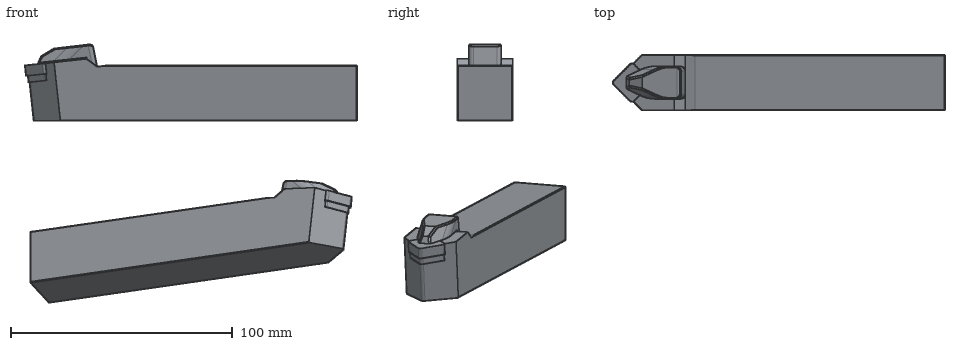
import cadquery as cq
import math

LENGTH = 150.0
WIDTH = 25.0
SHANK_HEIGHT = 25.0
SHANK_CHAMFER = 0.38

RAKE = 6.2
INSERT_SIDE = 13.0
INSERT_THICKNESS = 4.8
NOSE_RADIUS = 1.2
NOSE_HEIGHT = 25.0

SHIM_SETBACK = 0.6
SHIM_THICKNESS = 3.0

HEAD_SETBACK = 0.9
HEAD_TOP_END = 27.8
VALLEY_X = 32.7
VALLEY_Z = 24.5
RAMP_END = 36.9

CLAMP_GAP = 0.5
CLAMP_TOE_X = 6.0
CLAMP_TOE_TOP = (7.5, 29.2)
CLAMP_FRONT_TOP = (13.4, 32.7)
CLAMP_PEAK = (28.8, 34.5)
CLAMP_REAR_TOP = (30.8, 34.0)

CLAMP_WIDTH = 14.8
CLAMP_TIP_WIDTH = 3.8
CLAMP_FLARE = 37.0
CLAMP_FLANK_RADIUS = 7.4
CLAMP_FLANK_SLOPE = 45.0
CLAMP_CORNER_RADIUS = 2.18
CLAMP_CHAMFER = 0.6

CLAMP_REACH = LENGTH / 4
HEAD_REACH = LENGTH / 2

CORNER_LOSS = NOSE_RADIUS * (math.sqrt(2) - 1)


def lean(shape):
    """Tilt a shape built level about the nose and lift it to the nose height."""
    return shape.rotate((0, 0, 0), (0, 1, 0), -RAKE).translate((0, 0, NOSE_HEIGHT))


def seat_height(x):
    """Height of the leaning plane that carries the insert top and the head top."""
    return NOSE_HEIGHT + x * math.tan(math.radians(RAKE))


def make_plate(setback, thickness, top):
    """Leaning square plate with one corner forward; the setback moves its front sides only."""
    side = INSERT_SIDE - setback
    back_corner = math.sqrt(2) * INSERT_SIDE - CORNER_LOSS
    level_plate = (
        cq.Workplane("XY", origin=(back_corner - side / math.sqrt(2), 0, top - thickness))
        .transformed(rotate=(0, 0, 45))
        .rect(side, side)
        .extrude(thickness)
        .edges("|Z")
        .fillet(NOSE_RADIUS)
    )
    return lean(level_plate)


def make_head_envelope():
    """Leaning prism with the pointed plan of the holder, open-ended behind the shank."""
    tip = HEAD_SETBACK * math.sqrt(2) - CORNER_LOSS
    half = WIDTH / 2
    shoulder = tip + half
    back = LENGTH + HEAD_REACH
    prism = (
        cq.Workplane("XY")
        .polyline([(tip, 0), (shoulder, -half), (back, -half), (back, half), (shoulder, half)])
        .close()
        .extrude(HEAD_REACH, both=True)
        .edges("|Z and <X")
        .fillet(NOSE_RADIUS)
    )
    return lean(prism)


def make_shank():
    """Bar with the raised head, its rear end and long edges chamfered, cut to the pointed plan."""
    bar = (
        cq.Workplane("XZ", origin=(0, WIDTH / 2, 0))
        .polyline([
            (0, 0),
            (LENGTH, 0),
            (LENGTH, SHANK_HEIGHT),
            (RAMP_END, SHANK_HEIGHT),
            (VALLEY_X, VALLEY_Z),
            (HEAD_TOP_END, seat_height(HEAD_TOP_END)),
            (0, seat_height(0)),
        ])
        .close()
        .extrude(WIDTH)
    )
    bar = bar.edges("|X").chamfer(SHANK_CHAMFER)
    bar = bar.faces(">X").edges().chamfer(SHANK_CHAMFER)
    return bar.intersect(make_head_envelope())


def make_clamp_profile():
    """Side profile at full width: heel on the slope of the head, clear of insert and head top."""
    gap_start = seat_height(CLAMP_TOE_X) + CLAMP_GAP
    gap_end = seat_height(HEAD_TOP_END) + CLAMP_GAP
    return (
        cq.Workplane("XZ", origin=(0, CLAMP_WIDTH / 2, 0))
        .moveTo(CLAMP_TOE_X, gap_start)
        .lineTo(*CLAMP_TOE_TOP)
        .lineTo(*CLAMP_FRONT_TOP)
        .lineTo(*CLAMP_PEAK)
        .tangentArcPoint(CLAMP_REAR_TOP, relative=False)
        .lineTo(VALLEY_X, VALLEY_Z)
        .lineTo(HEAD_TOP_END, seat_height(HEAD_TOP_END))
        .lineTo(HEAD_TOP_END, gap_end)
        .close()
        .extrude(CLAMP_WIDTH)
    )


def make_clamp_flanks():
    """Prism along the slope of the flanks, flaring by way of an arc from the tip to full width."""
    half = CLAMP_WIDTH / 2
    half_tip = CLAMP_TIP_WIDTH / 2
    flare = math.radians(CLAMP_FLARE)
    slope = math.radians(CLAMP_FLANK_SLOPE)

    corner = (half - half_tip) / math.tan(flare)
    tangent = CLAMP_FLANK_RADIUS * math.tan(flare / 2)
    arc_end = corner + tangent

    def on_arc(angle):
        along = arc_end - CLAMP_FLANK_RADIUS * math.sin(angle)
        across = half - CLAMP_FLANK_RADIUS * (1 - math.cos(angle))
        return along, across

    section = cq.Plane(
        origin=(CLAMP_TOE_TOP[0], 0, CLAMP_TOE_TOP[1]),
        xDir=(math.sin(slope), 0, -math.cos(slope)),
        normal=(math.cos(slope), 0, math.sin(slope)),
    )
    return (
        cq.Workplane(section)
        .lineTo(0, half_tip)
        .lineTo(*on_arc(flare))
        .threePointArc(on_arc(flare / 2), on_arc(0))
        .lineTo(CLAMP_REACH, half)
        .lineTo(CLAMP_REACH, 0)
        .mirrorX()
        .extrude(CLAMP_REACH, both=True)
    )


def make_clamp_rear():
    """Prism parallel to the rear face, rounding the two upright rear corners."""
    rear_run = VALLEY_X - CLAMP_REAR_TOP[0]
    rear_rise = CLAMP_REAR_TOP[1] - VALLEY_Z
    rear_lean = math.degrees(math.atan2(rear_run, rear_rise))
    return (
        cq.Workplane("XY", origin=(-CLAMP_REACH / 2, 0, 0))
        .rect(CLAMP_REACH, CLAMP_WIDTH)
        .extrude(CLAMP_REACH, both=True)
        .edges("|Z and >X")
        .fillet(CLAMP_CORNER_RADIUS)
        .rotate((0, 0, 0), (0, 1, 0), -rear_lean)
        .translate((VALLEY_X, 0, VALLEY_Z))
    )


def is_crown(face):
    """True for the toe, front, top and rolled faces: upward, central and ahead of the rear face."""
    center = face.Center()
    is_central = abs(center.y) < CLAMP_CHAMFER
    return is_central and center.x < CLAMP_REAR_TOP[0] and face.normalAt().z > 0


def make_clamp():
    """Clamp with its upper rim chamfered on both sides."""
    body = make_clamp_profile().intersect(make_clamp_flanks()).intersect(make_clamp_rear())
    crown = body.newObject([face for face in body.faces().vals() if is_crown(face)])
    rim = crown.edges("not |Y").vals()
    return body.newObject(rim).chamfer(CLAMP_CHAMFER)


insert = make_plate(0, INSERT_THICKNESS, 0)
shim = make_plate(SHIM_SETBACK, SHIM_THICKNESS, -INSERT_THICKNESS)
holder = make_shank().cut(insert).union(shim).union(make_clamp())

result = cq.Compound.makeCompound([holder.solids().val(), insert.solids().val()])